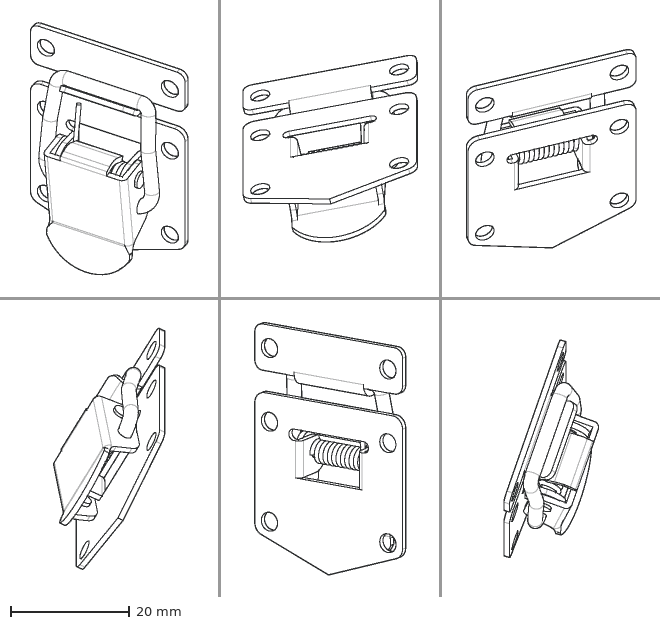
import cadquery as cq
import math


SHEET = 1.0
PLATE_WIDTH = 30.0
HOLE_DIAMETER = 3.28
HOLE_SPACING = 24.02

STRIKE_TOP = 42
STRIKE_HEIGHT = 8.15
STRIKE_CORNER = 1.6
STRIKE_HOLE_Z = 37.95
HOOK_WIDTH = 14.1
HOOK_OUTER_RADIUS = 2.55
HOOK_CENTER_Z = 34.52
HOOK_ANGLE = 40
HOOK_STRAIGHT = 2.4
HOOK_CORNER = 1.43

BASE_TOP = 30.0
BASE_CORNER = 2.0
BASE_POINT_ANGLE = 20
BASE_HOLE_ROWS = (25.05, 7.48)
RELIEF_WIDTH = 16.13
RELIEF_TOP = 24.53
EAR_TOP = 22.5
EAR_BOTTOM = 16.0
EAR_OUTER_X = 6.75
EAR_TIP_Y = -7.95
EAR_BEND_RADIUS = 1.0

PIN_Y = -4.65
PIN_Z = 19.95
PIN_SHAFT_RADIUS = 1.25
PIN_HEAD_RADIUS = 1.45
PIN_LENGTH = 17.05

LEVER_TILT = 7.3
LEVER_BEND_Y = -7.55
LEVER_BEND_Z = 7.55
LEVER_WIDTH = 16.05
LEVER_HEIGHT = 15.0
WALL_DEPTH = 6.97
WALL_TOP_RADIUS = 2.0
WALL_BOTTOM_Z = 2.48
WALL_BOTTOM_RADIUS = 3.0
WALL_BOTTOM_ANGLE = 24
HANDLE_BLEND_RADIUS = 2.3
LEVER_EDGE_RADIUS = 1.05
HANDLE_ANGLE = 15
HANDLE_TIP_RADIUS = 9.07
HANDLE_BEND_RADIUS = 1.25
CORNER_RUNOUT = 1.45
TONGUE_WIDTH = 9.0
TONGUE_ARC_DEPTH = 2.35
TONGUE_ARC_Z = 12.73
TONGUE_RADIUS = 3.53
TONGUE_FRONT_ANGLE = 17.5
TONGUE_BACK_ANGLE = 30
TONGUE_BACK_LENGTH = 1.9
TONGUE_FLAT_DEPTH = 0.3

BAIL_RADIUS = 1.25
BAIL_TOP_Y = -2.5
BAIL_TOP_Z = 34.3
BAIL_KNEE_Y = -4.0
BAIL_KNEE_Z = 26.2
BAIL_END_Z = 13.5
BAIL_KNEE_X = 9.5
BAIL_SPLAY = 0.09
BAIL_TOP_BEND = 1.7
BAIL_END_BEND = 4.0

SPRING_WIRE_RADIUS = 0.4
SPRING_COIL_RADIUS = 1.72
SPRING_PITCH = 0.9
SPRING_TURNS = 12
SPRING_LEG_LENGTH = 9.4
SPRING_LEG_ANGLE = 8.5

CUT = 25.2


def polar(center, radius, degrees):
    angle = math.radians(degrees)
    return (center[0] + radius * math.cos(angle), center[1] + radius * math.sin(angle))


def x_extrusion(sketch, width):
    """Solid from a closed YZ outline, centred on X = 0."""
    return sketch.extrude(width).translate((-width / 2, 0, 0))


def mounting_holes(rows):
    points = [(side * HOLE_SPACING / 2, z) for side in (-1, 1) for z in rows]
    return cq.Workplane("XZ").pushPoints(points).circle(HOLE_DIAMETER / 2).extrude(CUT, both=True)


def make_strike():
    plate = (
        cq.Workplane("XY")
        .box(PLATE_WIDTH, SHEET, STRIKE_HEIGHT)
        .edges("|Y").fillet(STRIKE_CORNER)
        .translate((0, -SHEET / 2, STRIKE_TOP - STRIKE_HEIGHT / 2))
        .cut(mounting_holes([STRIKE_HOLE_Z]))
    )
    notch = (
        cq.Workplane("XY")
        .box(HOOK_WIDTH, CUT, CUT)
        .translate((0, 0, HOOK_CENTER_Z - CUT / 2))
    )
    center = (-HOOK_OUTER_RADIUS, HOOK_CENTER_Z)
    inner_radius = HOOK_OUTER_RADIUS - SHEET
    end_angle = -90 - HOOK_ANGLE
    middle_angle = end_angle / 2
    rise = 180 - HOOK_ANGLE
    outer_end = polar(center, HOOK_OUTER_RADIUS, end_angle)
    inner_end = polar(center, inner_radius, end_angle)
    hook = x_extrusion(
        cq.Workplane("YZ")
        .moveTo(*polar(center, HOOK_OUTER_RADIUS, 0))
        .threePointArc(polar(center, HOOK_OUTER_RADIUS, middle_angle), outer_end)
        .lineTo(*polar(outer_end, HOOK_STRAIGHT, rise))
        .lineTo(*polar(inner_end, HOOK_STRAIGHT, rise))
        .lineTo(*inner_end)
        .threePointArc(polar(center, inner_radius, middle_angle), polar(center, inner_radius, 0))
        .close(),
        HOOK_WIDTH,
    )
    tip_face = cq.selectors.DirectionMinMaxSelector(cq.Vector(0, *polar((0, 0), 1, rise)))
    tip_corners = cq.selectors.ParallelDirSelector(cq.Vector(0, *polar((0, 0), 1, rise - 90)))
    hook = hook.faces(tip_face).edges(tip_corners).fillet(HOOK_CORNER)
    return plate.cut(notch).union(hook)


def make_pin():
    """Rivet with a head against the outside of each lever wall."""
    head_height = (PIN_LENGTH - LEVER_WIDTH) / 2
    axis = cq.Workplane("YZ").center(PIN_Y, PIN_Z)
    shaft = axis.circle(PIN_SHAFT_RADIUS).extrude(PIN_LENGTH / 2, both=True)
    head = axis.workplane(offset=LEVER_WIDTH / 2).circle(PIN_HEAD_RADIUS).extrude(head_height)
    return shaft.union(head).union(head.mirror("YZ"))


def make_ear(inner_x):
    radius = (EAR_TOP - EAR_BOTTOM) / 2
    round_y = EAR_TIP_Y + radius
    return (
        cq.Workplane("YZ", origin=(inner_x, 0, 0))
        .moveTo(0, EAR_TOP)
        .lineTo(round_y, EAR_TOP)
        .threePointArc((EAR_TIP_Y, EAR_BOTTOM + radius), (round_y, EAR_BOTTOM))
        .lineTo(0, EAR_BOTTOM)
        .close()
        .extrude(SHEET)
    )


def make_base(pin):
    half_width = PLATE_WIDTH / 2
    shoulder_z = half_width * math.tan(math.radians(BASE_POINT_ANGLE))
    ear_inner_x = EAR_OUTER_X - SHEET
    outline = [
        (0, 0),
        (half_width, shoulder_z),
        (half_width, BASE_TOP),
        (-half_width, BASE_TOP),
        (-half_width, shoulder_z),
    ]
    plate = cq.Workplane("XZ").polyline(outline).close().extrude(SHEET)
    plate = plate.edges("|Y").edges("<X or >X").fillet(BASE_CORNER)
    relief_height = RELIEF_TOP - EAR_TOP
    relief_z = (RELIEF_TOP + EAR_TOP) / 2
    relief = (
        cq.Workplane("XZ")
        .center(0, relief_z)
        .slot2D(RELIEF_WIDTH, relief_height)
        .extrude(SHEET)
    )
    window = (
        cq.Workplane("XZ")
        .center(0, (relief_z + EAR_BOTTOM) / 2)
        .rect(2 * ear_inner_x, relief_z - EAR_BOTTOM)
        .extrude(SHEET)
    )
    base = plate.cut(relief).cut(window).cut(mounting_holes(BASE_HOLE_ROWS))
    ear = make_ear(ear_inner_x)
    bend = (
        cq.Workplane("XY")
        .moveTo(ear_inner_x, 0)
        .lineTo(ear_inner_x + EAR_BEND_RADIUS, 0)
        .radiusArc((ear_inner_x, -EAR_BEND_RADIUS), -EAR_BEND_RADIUS)
        .close()
        .extrude(EAR_TOP - EAR_BOTTOM)
        .translate((0, 0, EAR_BOTTOM))
    )
    base = base.union(ear).union(ear.mirror("YZ"))
    return base.cut(bend).cut(bend.mirror("YZ")).cut(pin)


def make_tongue():
    """Tab bent back from the top of the lever's front face, over the spring."""
    center = (TONGUE_ARC_DEPTH, TONGUE_ARC_Z)
    inner_radius = TONGUE_RADIUS - SHEET
    front_normal = 90 + TONGUE_FRONT_ANGLE
    back_normal = 90 - TONGUE_BACK_ANGLE
    middle = (front_normal + back_normal) / 2
    slope = math.tan(math.radians(TONGUE_FRONT_ANGLE))
    outer_front = polar(center, TONGUE_RADIUS, front_normal)
    outer_back = polar(center, TONGUE_RADIUS, back_normal)
    inner_front = polar(center, inner_radius, front_normal)
    inner_back = polar(center, inner_radius, back_normal)
    flat_start = (TONGUE_FLAT_DEPTH, outer_front[1] - (outer_front[0] - TONGUE_FLAT_DEPTH) * slope)
    inner_corner_z = inner_front[1] - (inner_front[0] - SHEET) * slope
    return x_extrusion(
        cq.Workplane("YZ")
        .moveTo(0, LEVER_HEIGHT - SHEET)
        .lineTo(0, LEVER_HEIGHT)
        .spline([flat_start], tangents=[(0, 1), polar((0, 0), 1, TONGUE_FRONT_ANGLE)], includeCurrent=True)
        .lineTo(*outer_front)
        .threePointArc(polar(center, TONGUE_RADIUS, middle), outer_back)
        .lineTo(*polar(outer_back, TONGUE_BACK_LENGTH, -TONGUE_BACK_ANGLE))
        .lineTo(*polar(inner_back, TONGUE_BACK_LENGTH, -TONGUE_BACK_ANGLE))
        .lineTo(*inner_back)
        .threePointArc(polar(center, inner_radius, middle), inner_front)
        .lineTo(SHEET, inner_corner_z)
        .lineTo(SHEET, LEVER_HEIGHT - SHEET)
        .close(),
        TONGUE_WIDTH,
    )


def corner_section(z, face_y, reach):
    """Outline of what the edge round removes from the +X front corner at one height.

    The front face lies at face_y there, and the round reaches that far across it.
    """
    side_x = LEVER_WIDTH / 2
    depth = LEVER_EDGE_RADIUS
    inset = 1 - math.sqrt(0.5)
    return (
        cq.Workplane("XY", origin=(0, 0, z))
        .moveTo(side_x - reach, face_y)
        .lineTo(side_x - reach, face_y - depth)
        .lineTo(side_x + depth, face_y - depth)
        .lineTo(side_x + depth, face_y + depth)
        .lineTo(side_x, face_y + depth)
        .threePointArc((side_x - inset * reach, face_y + inset * depth), (side_x - reach, face_y))
        .close()
    )


def make_corner_cutter():
    """Rounds a long front edge of the lever and fades out into the flat side of the handle."""
    faded_reach = 0.01
    faded_y = -CORNER_RUNOUT * math.tan(math.radians(HANDLE_ANGLE))
    straight = corner_section(0, 0, LEVER_EDGE_RADIUS).extrude(LEVER_HEIGHT)
    start = corner_section(0, 0, LEVER_EDGE_RADIUS).wires().val()
    end = corner_section(-CORNER_RUNOUT, faded_y, faded_reach).wires().val()
    runout = cq.Workplane(cq.Solid.makeLoft([start, end], True))
    return straight.union(runout)


def make_lever(pin, bail):
    lean = math.tan(math.radians(HANDLE_ANGLE))
    lean_from_plumb = math.radians(HANDLE_ANGLE - LEVER_TILT)
    tip_length = LEVER_BEND_Z / math.cos(lean_from_plumb) - SHEET * math.tan(lean_from_plumb)
    tip_front = polar((0, 0), tip_length, -90 - HANDLE_ANGLE)
    tip_back = polar(tip_front, SHEET, -HANDLE_ANGLE)
    wall_slope = math.tan(math.radians(WALL_BOTTOM_ANGLE))
    back_start = SHEET / math.cos(math.radians(HANDLE_ANGLE))
    blend_y = (back_start + lean * (WALL_BOTTOM_Z - wall_slope * WALL_DEPTH)) / (1 - lean * wall_slope)
    blend_z = WALL_BOTTOM_Z - wall_slope * (WALL_DEPTH - blend_y)
    side_outline = [
        (0, LEVER_HEIGHT),
        (0, 0),
        tip_front,
        tip_back,
        (blend_y, blend_z),
        (WALL_DEPTH, WALL_BOTTOM_Z),
        (WALL_DEPTH, LEVER_HEIGHT),
    ]
    lever = x_extrusion(cq.Workplane("YZ").polyline(side_outline).close(), LEVER_WIDTH)
    rounds = [
        ((0, 0), HANDLE_BEND_RADIUS),
        ((blend_y, blend_z), HANDLE_BLEND_RADIUS),
        ((WALL_DEPTH, WALL_BOTTOM_Z), WALL_BOTTOM_RADIUS),
        ((WALL_DEPTH, LEVER_HEIGHT), WALL_TOP_RADIUS),
    ]
    for (y, z), radius in rounds:
        lever = lever.edges("|X").edges(cq.selectors.NearestToPointSelector((0, y, z))).fillet(radius)

    channel_outline = [
        (SHEET, LEVER_HEIGHT),
        (SHEET, (SHEET - back_start) / lean),
        tip_back,
        (WALL_DEPTH, tip_back[1]),
        (WALL_DEPTH, LEVER_HEIGHT),
    ]
    channel_sketch = cq.Workplane("YZ").polyline(channel_outline).close()
    lever = lever.cut(x_extrusion(channel_sketch, LEVER_WIDTH - 2 * SHEET))

    corner = make_corner_cutter()
    lever = lever.cut(corner).cut(corner.mirror("YZ"))

    handle_outline = (
        cq.Workplane("XZ")
        .circle(HANDLE_TIP_RADIUS)
        .extrude(CUT, both=True)
        .union(cq.Workplane("XY").box(CUT, 2 * CUT, CUT).translate((0, 0, CUT / 2)))
        .translate((0, 0, HANDLE_TIP_RADIUS - tip_length))
        .rotate((0, 0, 0), (1, 0, 0), -HANDLE_ANGLE)
    )
    lever = lever.intersect(handle_outline).union(make_tongue())
    lever = lever.rotate((0, 0, 0), (1, 0, 0), LEVER_TILT).translate((0, LEVER_BEND_Y, LEVER_BEND_Z))
    return lever.cut(pin).cut(bail)


def bend_points(before, corner, after, radius):
    """Start, middle and end of the arc that rounds a corner of a path."""
    back = (before - corner).normalized()
    ahead = (after - corner).normalized()
    half_angle = back.getAngle(ahead) / 2
    reach = radius / math.tan(half_angle)
    inward = (back + ahead).normalized()
    middle = corner + inward * (radius / math.sin(half_angle) - radius)
    return corner + back * reach, middle, corner + ahead * reach


def make_bail():
    """Bent wire loop: hooked ends in the lever walls, splayed legs and a leaning top bar."""
    top_x = BAIL_KNEE_X - BAIL_SPLAY * (BAIL_TOP_Z - BAIL_KNEE_Z)
    foot_x = BAIL_KNEE_X + BAIL_SPLAY * (BAIL_KNEE_Z - BAIL_END_Z)

    def side_points(side):
        middle = cq.Vector(0, BAIL_KNEE_Y, BAIL_END_Z)
        foot = cq.Vector(side * foot_x, BAIL_KNEE_Y, BAIL_END_Z)
        knee = cq.Vector(side * BAIL_KNEE_X, BAIL_KNEE_Y, BAIL_KNEE_Z)
        top = cq.Vector(side * top_x, BAIL_TOP_Y, BAIL_TOP_Z)
        top_middle = cq.Vector(0, BAIL_TOP_Y, BAIL_TOP_Z)
        end_bend = bend_points(middle, foot, knee, BAIL_END_BEND)
        top_bend = bend_points(knee, top, top_middle, BAIL_TOP_BEND)
        return end_bend, knee, top_bend

    left_end, left_knee, left_top = side_points(-1)
    right_end, right_knee, right_top = side_points(1)
    path = cq.Wire.assembleEdges([
        cq.Edge.makeThreePointArc(*left_end),
        cq.Edge.makeLine(left_end[2], left_knee),
        cq.Edge.makeLine(left_knee, left_top[0]),
        cq.Edge.makeThreePointArc(*left_top),
        cq.Edge.makeLine(left_top[2], right_top[2]),
        cq.Edge.makeThreePointArc(*reversed(right_top)),
        cq.Edge.makeLine(right_top[0], right_knee),
        cq.Edge.makeLine(right_knee, right_end[2]),
        cq.Edge.makeThreePointArc(*reversed(right_end)),
    ])
    profile = cq.Workplane("YZ", origin=left_end[0].toTuple()).circle(BAIL_RADIUS)
    return profile.sweep(cq.Workplane(path), transition="right")


def make_spring():
    """Coil round the pin with one straight leg that rests near the base plate."""
    length = SPRING_PITCH * SPRING_TURNS
    helix = cq.Wire.makeHelix(SPRING_PITCH, length, SPRING_COIL_RADIUS, lefthand=True)
    section = cq.Workplane("XZ", origin=(SPRING_COIL_RADIUS, 0, 0))
    coil = section.circle(SPRING_WIRE_RADIUS).sweep(cq.Workplane(helix), isFrenet=True)
    leg = section.circle(SPRING_WIRE_RADIUS).extrude(-SPRING_LEG_LENGTH)
    spring = coil.union(leg)
    return (
        spring.translate((0, 0, -length / 2))
        .rotate((0, 0, 0), (1, 1, 1), 120)
        .rotate((0, 0, 0), (1, 0, 0), -SPRING_LEG_ANGLE)
        .translate((0, PIN_Y, PIN_Z))
    )


strike = make_strike()
pin = make_pin()
base = make_base(pin)
bail = make_bail()
lever = make_lever(pin, bail)
spring = make_spring()

result = cq.Compound.makeCompound(
    [strike.val(), base.val(), pin.val(), lever.val(), bail.val(), spring.val()]
)